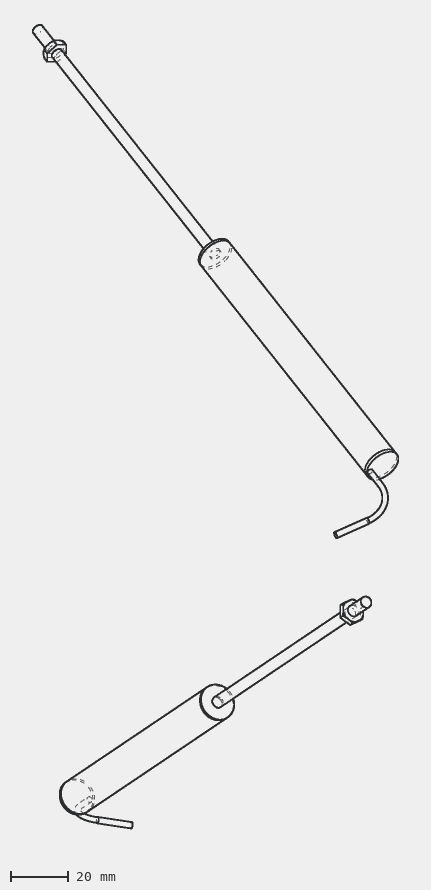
import cadquery as cq

rod_diameter = 4.0
housing_diameter = 12.8
housing_start = 120.2
housing_end = 234.8
front_cap_thickness = 1.0
rear_cap_thickness = 1.3

nut_across_corners = 9.0
nut_chamfer = 0.5
nut_start = 10.5
nut_thickness = 2.5

overall_length = 255.2
cable_lowest_y = -30.5
cable_diameter = 2.0
cable_offset_y = -5.0
bend_radius = 12.3
sleeve_diameter = 2.3

tube_start = housing_start + front_cap_thickness
tube_end = housing_end - rear_cap_thickness
sleeve_x = overall_length - sleeve_diameter / 2
bend_start_x = sleeve_x - bend_radius
bend_end_y = cable_offset_y - bend_radius


def cylinder_along_x(start, end, diameter):
    return cq.Workplane("YZ", origin=(start, 0, 0)).circle(diameter / 2).extrude(end - start)


def make_rod():
    """Plain rod that stops against the housing tube behind the front cap."""
    return cylinder_along_x(0, tube_start, rod_diameter)


def make_nut():
    """Hexagonal nut with two corners on the Z axis and its -X corners turned down."""
    blank = (
        cq.Workplane("YZ", origin=(nut_start, 0, 0))
        .transformed(rotate=(0, 0, 90))
        .polygon(6, nut_across_corners)
        .extrude(nut_thickness)
    )
    turning_envelope = (
        cylinder_along_x(nut_start, nut_start + nut_thickness, nut_across_corners)
        .faces("<X")
        .chamfer(nut_chamfer)
    )
    return blank.intersect(turning_envelope).cut(make_rod())


def make_tube():
    """Solid cylinder between the two end caps."""
    return cylinder_along_x(tube_start, tube_end, housing_diameter)


def make_front_cap():
    """Disc with a close-fitting hole for the rod."""
    return cylinder_along_x(housing_start, tube_start, housing_diameter).cut(make_rod())


def make_rear_cap():
    """Plain disc that the cable leaves from."""
    return cylinder_along_x(tube_end, housing_end, housing_diameter)


def make_cable():
    """Straight lead from the rear cap followed by a quarter-circle bend towards -Y."""
    path = (
        cq.Workplane("XY")
        .moveTo(housing_end, cable_offset_y)
        .lineTo(bend_start_x, cable_offset_y)
        .tangentArcPoint((sleeve_x, bend_end_y), relative=False)
    )
    start = cq.Workplane("YZ", origin=(housing_end, cable_offset_y, 0))
    return start.circle(cable_diameter / 2).sweep(path)


def make_sleeve():
    """Thicker straight end of the cable, running along -Y."""
    face = cq.Workplane("XZ", origin=(sleeve_x, bend_end_y, 0))
    return face.circle(sleeve_diameter / 2).extrude(bend_end_y - cable_lowest_y)


rod = make_rod()
nut = make_nut()
tube = make_tube()
front_cap = make_front_cap()
rear_cap = make_rear_cap()
cable = make_cable()
sleeve = make_sleeve()

result = cq.Compound.makeCompound(
    [
        rod.val(),
        nut.val(),
        tube.val(),
        front_cap.val(),
        rear_cap.val(),
        cable.val(),
        sleeve.val(),
    ]
)